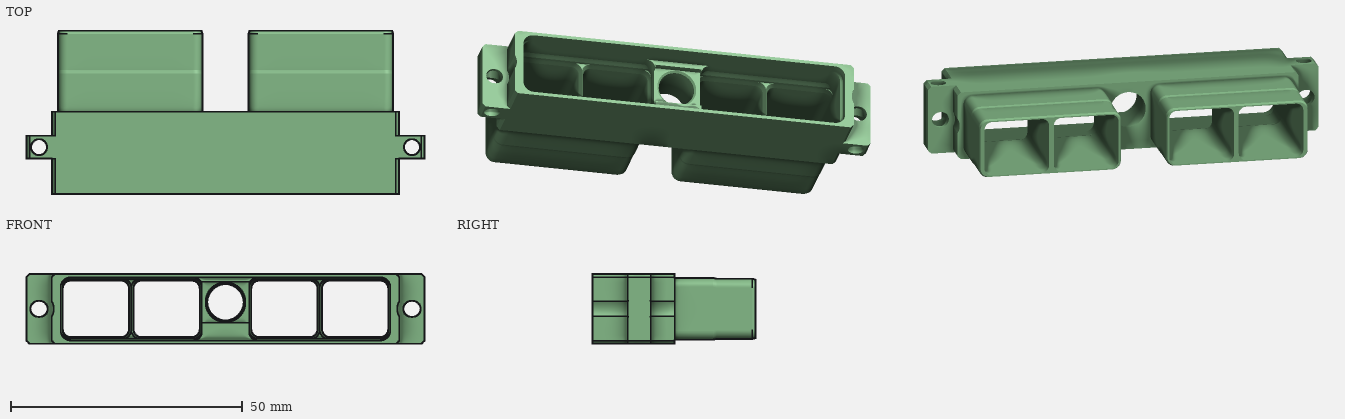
import cadquery as cq

total_width = 85.83
total_depth = 35.24
total_height = 15.11
edge_chamfer = 0.7

body_width = 74.9
body_depth = 17.78
ear_front = 7.65
ear_back = 12.6
ear_hole_x = 40.2
ear_hole_diameter = 3.4
ear_slot_length = 3.7
groove_radius = 3.2

socket_pitch = 15.24
pair_center_x = 20.32
socket_width = 14.2
socket_height = 12.1
socket_corner_radius = 1.6
mouth_corner_radius = 1.8

opening_half_width = 35.56
cavity_height = 13.7
opening_corner_radius = 2.3
cavity_corner_radius = 2.0
opening_depth = 2.3
opening_chamfer = 0.5
cavity_half_width = opening_half_width - opening_chamfer
first_slope_start = 8.2
first_slope_end = 9.35
second_slope_start = 10.05
second_slope_end = 11.3
throat_height = 12.8

divider_half_width = pair_center_x - socket_pitch
divider_front = 5.8
divider_recess_depth = 1.6
recess_bottom = -2.97
recess_top = 5.82
center_hole_radius = 3.9
center_hole_chamfer = 0.4

shell_inner_x = 4.95
shell_outer_x = 36.15
shell_height = 13.4
shell_rear_height = 13.04
shell_corner_radius = 1.9
shell_step_start = 26.0
shell_step_end = 26.75
shell_end_taper_length = 0.7
shell_end_inset = 0.22

SIDES = (-1, 1)


def rounded_rectangle(width, height, radius):
    """Rounded rectangle sketch."""
    return cq.Sketch().rect(width, height).vertices().fillet(radius)


def prism(y_start, y_end, center_x, width, height, radius):
    """Rounded rectangular bar along Y."""
    plane = cq.Workplane("XZ", origin=(center_x, y_start, 0))
    return plane.placeSketch(rounded_rectangle(width, height, radius)).extrude(y_start - y_end)


def frustum(start, end):
    """Tapered bar along Y between two (y, center_x, width, height, radius) sections."""
    sections = []
    for y, center_x, width, height, radius in (start, end):
        location = cq.Location(cq.Vector(center_x, 0, -y))
        sections.append(rounded_rectangle(width, height, radius).moved(location))
    return cq.Workplane("XZ").placeSketch(*sections).loft(ruled=True)


def box(x_range, y_range, z_range):
    """Box given by its limits along each axis."""
    size = [high - low for low, high in (x_range, y_range, z_range)]
    corner = (x_range[0], y_range[0], z_range[0])
    return cq.Workplane("XY").box(*size, centered=False).translate(corner)


def chamfered_block(width, y_start, y_end):
    """Full-height block whose four edges along Y are chamfered."""
    half = total_height / 2
    block = box((-width / 2, width / 2), (y_start, y_end), (-half, half))
    return block.edges("|Y").chamfer(edge_chamfer)


def make_shell(side):
    """Outer shell of one socket pair, stepped in height and tapered at the end."""
    center_x = side * (shell_inner_x + shell_outer_x) / 2
    width = shell_outer_x - shell_inner_x
    end_start = total_depth - shell_end_taper_length
    end_width = width - 2 * shell_end_inset
    end_height = shell_rear_height - 2 * shell_end_inset
    r = shell_corner_radius
    shell = prism(ear_back, shell_step_start, center_x, width, shell_height, r)
    step = frustum(
        (shell_step_start, center_x, width, shell_height, r),
        (shell_step_end, center_x, width, shell_rear_height, r),
    )
    rear = prism(shell_step_end, end_start, center_x, width, shell_rear_height, r)
    end = frustum(
        (end_start, center_x, width, shell_rear_height, r),
        (total_depth, center_x, end_width, end_height, r),
    )
    return shell.union(step).union(rear).union(end)


def lead_in_profile():
    """Side profile limiting the cavity height: a slope, then a short level stretch."""
    tall = cavity_height / 2
    low = throat_height / 2
    outline = [
        (0, tall),
        (first_slope_start, tall),
        (first_slope_end, low),
        (second_slope_start, low),
        (second_slope_start, -low),
        (first_slope_end, -low),
        (first_slope_start, -tall),
        (0, -tall),
    ]
    return cq.Workplane("YZ").polyline(outline).close().extrude(body_width / 2, both=True)


def make_cavity():
    """Front cavity: a wide opening that narrows, then one pocket on each side of the divider."""
    r = cavity_corner_radius
    inner_width = 2 * cavity_half_width
    opening_width = 2 * opening_half_width
    slope_end = opening_depth + opening_chamfer
    cavity = prism(0, opening_depth, 0, opening_width, cavity_height, opening_corner_radius)
    slope = frustum(
        (opening_depth, 0, opening_width, cavity_height, opening_corner_radius),
        (slope_end, 0, inner_width, cavity_height, r),
    )
    front = prism(slope_end, divider_front, 0, inner_width, cavity_height, r)
    cavity = cavity.union(slope).union(front)
    pocket_width = cavity_half_width - divider_half_width
    pocket_center = (cavity_half_width + divider_half_width) / 2
    for side in SIDES:
        pocket = prism(
            slope_end, second_slope_start, side * pocket_center, pocket_width, cavity_height, r
        )
        cavity = cavity.union(pocket)
    return cavity.intersect(lead_in_profile())


def make_socket(side, is_outer):
    """Through socket with its sloping mouth."""
    direction = 1 if is_outer else -1
    center_x = side * (pair_center_x + direction * socket_pitch / 2)
    inner_limit = pair_center_x if is_outer else divider_half_width
    outer_limit = cavity_half_width if is_outer else pair_center_x
    mouth_center = side * (inner_limit + outer_limit) / 2
    mouth_width = outer_limit - inner_limit
    r = socket_corner_radius
    mouth = frustum(
        (second_slope_start, mouth_center, mouth_width, throat_height, mouth_corner_radius),
        (second_slope_end, center_x, socket_width, socket_height, r),
    )
    bore = prism(second_slope_end, total_depth, center_x, socket_width, socket_height, r)
    return mouth.union(bore)


def cut_divider(part):
    """Recess the divider's front and bore its central hole."""
    recess_back = divider_front + divider_recess_depth
    half = divider_half_width
    part = part.cut(box((-half, half), (divider_front, recess_back), (recess_bottom, recess_top)))
    hole_z = (recess_bottom + recess_top) / 2
    hole_plane = cq.Workplane("XZ", origin=(0, recess_back, hole_z))
    part = part.cut(hole_plane.circle(center_hole_radius).extrude(-body_depth))
    cone = cq.Solid.makeCone(
        center_hole_radius + center_hole_chamfer,
        center_hole_radius,
        center_hole_chamfer,
        cq.Vector(0, recess_back, hole_z),
        cq.Vector(0, 1, 0),
    )
    return part.cut(cq.Workplane(cone))


def cut_ear(part, side):
    """Vertical hole, front-to-back slot and side clearance groove of one ear."""
    x = side * ear_hole_x
    ear_middle = (ear_front + ear_back) / 2
    hole = cq.Workplane("XY").center(x, ear_middle).circle(ear_hole_diameter / 2)
    part = part.cut(hole.extrude(total_height, both=True))
    along_y = cq.Workplane("XZ", origin=(x, 0, 0))
    part = part.cut(along_y.slot2D(ear_slot_length, ear_hole_diameter).extrude(-body_depth))
    for y_start, y_end in ((0, ear_front), (ear_back, body_depth)):
        groove = cq.Workplane("XZ", origin=(x, y_start, 0)).circle(groove_radius)
        part = part.cut(groove.extrude(y_start - y_end))
    return part


def build():
    part = chamfered_block(body_width, 0, body_depth)
    part = part.union(chamfered_block(total_width, ear_front, ear_back))
    for side in SIDES:
        part = part.union(make_shell(side))
    part = part.cut(make_cavity())
    for side in SIDES:
        for is_outer in (False, True):
            part = part.cut(make_socket(side, is_outer))
    part = cut_divider(part)
    for side in SIDES:
        part = cut_ear(part, side)
    return part


result = build()